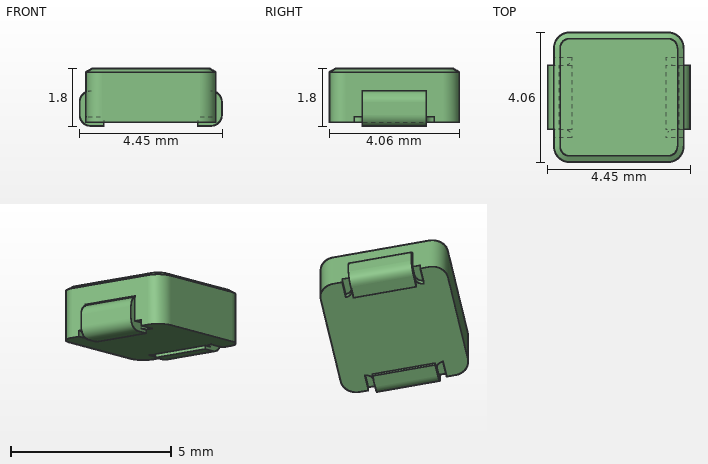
import cadquery as cq

overall_length = 4.45
overall_height = 1.8
body_side = 4.06

body_bottom = 0.11
corner_radius = 0.5
chamfer_inset = 0.195
chamfer_drop = 0.11

terminal_width = 2.002
foot_length = 0.76
bend_radius = 0.35
terminal_top = 1.1

relief_width = 2.49
relief_top = 0.3

half_length = overall_length / 2
wall = body_side / 2
bend_end = half_length - bend_radius
foot_end = half_length - foot_length
terminal_side = terminal_width / 2
relief_side = relief_width / 2
relief_radius = relief_side - terminal_side


def make_body():
    """Rounded square block with a shallow chamfer around its top face."""
    block = (
        cq.Workplane("XY", origin=(0, 0, body_bottom))
        .rect(body_side, body_side)
        .extrude(overall_height - body_bottom)
        .edges("|Z")
        .fillet(corner_radius)
    )
    return block.faces(">Z").chamfer(chamfer_drop, chamfer_inset)


def make_terminal():
    """Terminal at the -X end: a foot under the body and an upright with rounded outer edges."""
    return (
        cq.Workplane("XZ")
        .moveTo(-foot_end, 0)
        .lineTo(-bend_end, 0)
        .radiusArc((-half_length, bend_radius), bend_radius)
        .lineTo(-half_length, terminal_top - bend_radius)
        .radiusArc((-bend_end, terminal_top), bend_radius)
        .lineTo(-bend_end, body_bottom)
        .lineTo(-foot_end, body_bottom)
        .close()
        .extrude(terminal_side, both=True)
    )


def make_pocket():
    """Rectangular pocket in the -X wall; the upper bend leaves a small gap under its top edge."""
    pocket_depth = wall - bend_end
    pocket_height = terminal_top - body_bottom
    return (
        cq.Workplane("XY", origin=(-wall + pocket_depth / 2, 0, body_bottom))
        .rect(pocket_depth, terminal_width)
        .extrude(pocket_height)
    )


def make_relief():
    """Notch on the +Y side of the -X terminal, with a concave round inner corner."""
    return (
        cq.Workplane("XY", origin=(0, 0, body_bottom))
        .moveTo(-wall, terminal_side)
        .lineTo(-foot_end - relief_radius, terminal_side)
        .radiusArc((-foot_end, relief_side), -relief_radius)
        .lineTo(-wall, relief_side)
        .close()
        .extrude(relief_top - body_bottom)
    )


terminal = make_terminal()
relief = make_relief()
cutter = relief.union(relief.mirror("XZ")).union(make_pocket())

result = make_body()
result = result.cut(cutter).cut(cutter.mirror("YZ"))
result = result.union(terminal).union(terminal.mirror("YZ"))